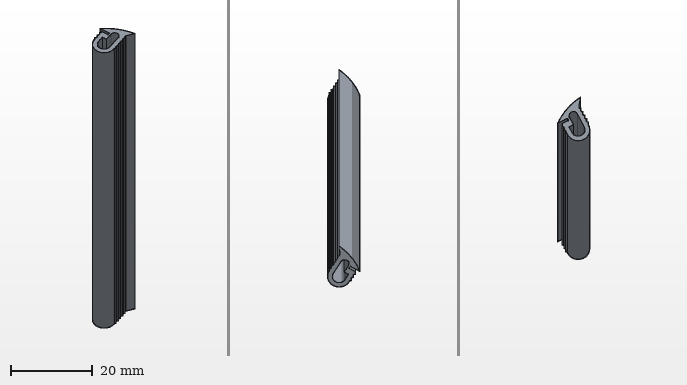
import cadquery as cq

length = 100.0
width = 8.0
depth = 10.0

channel_x = -0.3
outer_radius = 2.85
wall = 1.2
inner_radius = outer_radius - wall
bend_y = -depth / 2 + outer_radius
left_x = channel_x - outer_radius
right_x = channel_x + outer_radius
inner_left_x = left_x + wall
inner_right_x = right_x - wall

lip_left = (-width / 2, 1.6)
lip_right = (width / 2, depth / 2)
lip_crown = (0.1, 4.0)
lip_root_y = 3.1

slot_end_x = -1.3
slot_height = 0.6
hook_top_y = lip_left[1] - slot_height

ledge_y = -0.5
neck_left_x = -0.75
neck_radius = (inner_right_x - neck_left_x) / 2
cavity_top_y = 2.6
neck_arc_y = cavity_top_y - neck_radius

barb_height = 0.3
barb_upper = 0.2
barb_lower = 0.3
barb_pitch = 1.0
lowest_barb_y = -1.6
left_barbs = 3
right_barbs = 5


def make_body():
    """Extrude the outer channel, lip and slot as one outline."""
    return (
        cq.Workplane("XY")
        .moveTo(*lip_left)
        .threePointArc(lip_crown, lip_right)
        .lineTo(right_x, lip_root_y)
        .lineTo(right_x, bend_y)
        .threePointArc((channel_x, bend_y - outer_radius), (left_x, bend_y))
        .lineTo(left_x, hook_top_y)
        .lineTo(slot_end_x, hook_top_y)
        .lineTo(slot_end_x, lip_left[1])
        .close()
        .extrude(length)
    )


def make_cavity():
    """Make the stepped cavity with rounded ends."""
    return (
        cq.Workplane("XY")
        .moveTo(inner_right_x, bend_y)
        .lineTo(inner_right_x, neck_arc_y)
        .threePointArc((inner_right_x - neck_radius, cavity_top_y), (neck_left_x, neck_arc_y))
        .lineTo(neck_left_x, ledge_y)
        .lineTo(inner_left_x, ledge_y)
        .lineTo(inner_left_x, bend_y)
        .threePointArc((channel_x, bend_y - inner_radius), (inner_right_x, bend_y))
        .close()
        .extrude(length)
    )


def make_barb(wall_x, tip_y, side):
    """Make a barb rooted inside the wall; side is -1 for left, 1 for right."""
    root_x = wall_x - side * wall / 2
    points = [
        (root_x, tip_y + barb_upper),
        (wall_x, tip_y + barb_upper),
        (wall_x + side * barb_height, tip_y),
        (wall_x, tip_y - barb_lower),
        (root_x, tip_y - barb_lower),
    ]
    return cq.Workplane("XY").polyline(points).close().extrude(length)


result = make_body().cut(make_cavity())
for wall_x, side, count in ((left_x, -1, left_barbs), (right_x, 1, right_barbs)):
    for index in range(count):
        result = result.union(make_barb(wall_x, lowest_barb_y + index * barb_pitch, side))

result = result.translate((0, 0, -length / 2))